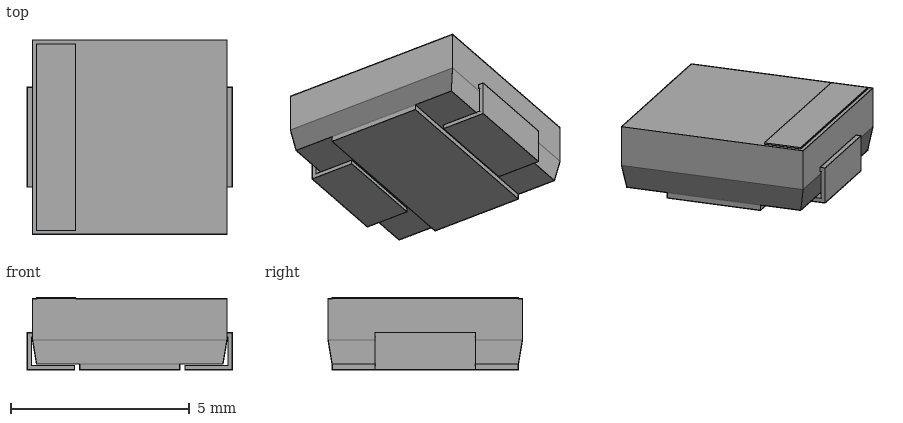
import cadquery as cq

span = 5.74
body_side = 5.44
body_top = 1.99
parting_height = 0.84
body_bottom = 0.16
taper_inset = 0.115
base_side = body_side - 2 * taper_inset

pad_width = 2.795

band_thickness = 0.04
band_inset = taper_inset
band_width = 1.09
band_length = body_side - 2 * band_inset

lead_thickness = 0.125
lead_width = 2.795
lead_height = 1.045
lead_foot = 1.33
lead_tab_height = 0.125


def make_body():
    """Moulded body: straight upper block, tapered lower block and bottom pad."""
    upper = (
        cq.Workplane("XY", origin=(0, 0, parting_height))
        .rect(body_side, body_side)
        .extrude(body_top - parting_height)
    )
    lower = (
        cq.Workplane("XY", origin=(0, 0, body_bottom))
        .rect(base_side, base_side)
        .workplane(offset=parting_height - body_bottom)
        .rect(body_side, body_side)
        .loft(ruled=True)
    )
    pad = cq.Workplane("XY").rect(pad_width, base_side).extrude(body_bottom)
    return upper.union(lower).union(pad)


def make_band():
    """Thin polarity band lying on the top face near the -X edge."""
    center_x = -body_side / 2 + band_inset + band_width / 2
    return (
        cq.Workplane("XY", origin=(center_x, 0, body_top))
        .rect(band_width, band_length)
        .extrude(band_thickness)
    )


def make_lead(side):
    """Bent lead on one end; side is -1 for the -X end and +1 for the +X end."""
    outer = side * span / 2
    inner = outer - side * lead_thickness
    foot_end = outer - side * lead_foot
    body_face = side * body_side / 2
    tab_bottom = lead_height - lead_tab_height
    profile = [
        (outer, 0),
        (foot_end, 0),
        (foot_end, lead_thickness),
        (inner, lead_thickness),
        (inner, tab_bottom),
        (body_face, tab_bottom),
        (body_face, lead_height),
        (outer, lead_height),
    ]
    return cq.Workplane("XZ").polyline(profile).close().extrude(lead_width / 2, both=True)


body = make_body()
band = make_band()
leads = [make_lead(side) for side in (-1, 1)]

result = cq.Compound.makeCompound([body.val(), band.val(), *[lead.val() for lead in leads]])